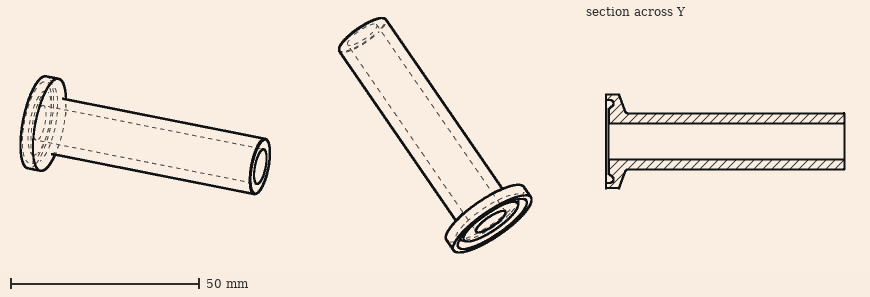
import cadquery as cq
import math

length = 63.5
bore_diameter = 9.4
tube_diameter = 15.05
flange_diameter = 25.0

rim_width = 3.55
flange_back_angle = 20.0
neck_fillet = 0.8
end_chamfer = 0.2

seat_diameter = 21.9
land_recess = 0.75
land_wall_angle = 40.0
groove_inner_diameter = 18.9
groove_outer_depth = 1.15

bore_radius = bore_diameter / 2
tube_radius = tube_diameter / 2
flange_radius = flange_diameter / 2
seat_radius = seat_diameter / 2
groove_inner_radius = groove_inner_diameter / 2

back_taper_length = (flange_radius - tube_radius) * math.tan(math.radians(flange_back_angle))
neck_x = rim_width + back_taper_length


def make_body():
    """Flange and tube turned about the X axis, without the gasket seat or the bore."""
    fillet_turn = math.radians(90 - flange_back_angle)
    tangent_length = neck_fillet * math.tan(fillet_turn / 2)
    fillet_start = (
        neck_x - tangent_length * math.cos(fillet_turn),
        tube_radius + tangent_length * math.sin(fillet_turn),
    )
    fillet_end = (neck_x + tangent_length, tube_radius)
    return (
        cq.Workplane("XY")
        .lineTo(0, flange_radius)
        .lineTo(rim_width, flange_radius)
        .lineTo(*fillet_start)
        .radiusArc(fillet_end, -neck_fillet)
        .lineTo(length - end_chamfer, tube_radius)
        .lineTo(length, tube_radius - end_chamfer)
        .lineTo(length, 0)
        .close()
        .revolve(360, (0, 0, 0), (1, 0, 0))
    )


def make_gasket_seat():
    """Recess in front of the land, with a round-bottomed groove around it."""
    wall_angle = math.radians(land_wall_angle)
    groove_radius = (seat_radius - groove_inner_radius) / (1 + math.cos(wall_angle))
    groove_inner_depth = groove_outer_depth + groove_radius * math.sin(wall_angle)
    wall_length = groove_inner_depth - land_recess
    land_radius = groove_inner_radius - wall_length * math.tan(wall_angle)
    return (
        cq.Workplane("XY")
        .lineTo(0, seat_radius)
        .lineTo(groove_outer_depth, seat_radius)
        .threePointArc(
            (groove_outer_depth + groove_radius, seat_radius - groove_radius),
            (groove_inner_depth, groove_inner_radius),
        )
        .lineTo(land_recess, land_radius)
        .lineTo(land_recess, 0)
        .close()
        .revolve(360, (0, 0, 0), (1, 0, 0))
    )


def make_bore():
    """Through hole along the X axis."""
    return cq.Workplane("YZ").circle(bore_radius).extrude(length)


result = make_body().cut(make_gasket_seat()).cut(make_bore())